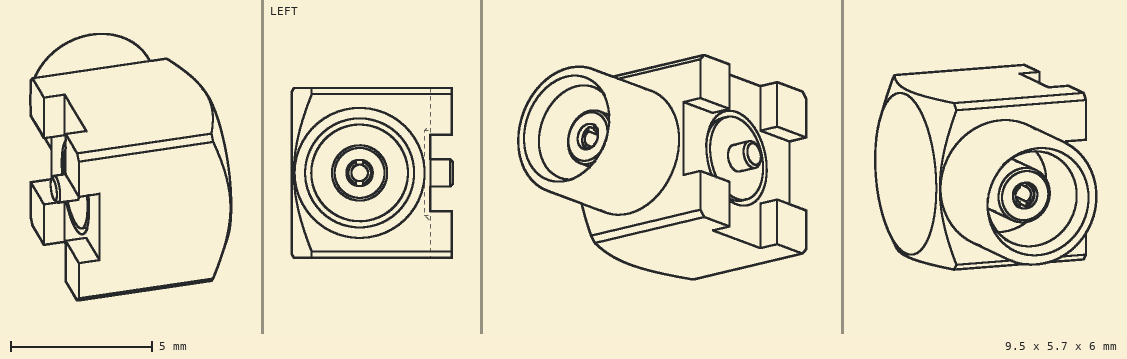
import cadquery as cq

block_side = 6.0
block_back = 2.4
corner_chamfer = 0.22
foot_side = 1.65
foot_tip = -3.26
floor_y = -2.5
back_flat_radius = 2.87
back_cone_slope = 0.58

pin_radius = 0.48
pin_tip = -3.3
pin_chamfer = 0.095
groove_rim_radius = 1.71
insulator_radius = 1.5
groove_depth = 0.2

overall_length = 9.5
socket_radius = 2.3
socket_edge_round = 0.2
mouth_radius = 1.93
bore_radius = 1.71
mouth_depth = 0.57
bore_depth = 3.42

post_radius = 0.98
post_chamfer = 0.095
post_recess = 1.21
contact_radius = 0.47
contact_chamfer = 0.07
contact_recess = 1.4
contact_bore_radius = 0.29
contact_bore_depth = 1.425
contact_point_depth = 0.29
contact_slot_width = 0.26
contact_slot_depth = 0.95
contact_length = contact_bore_depth + contact_point_depth

half_side = block_side / 2
socket_mouth = half_side - overall_length


def cylinder_x(radius, start, length):
    """Cylinder on the socket axis, running towards +X from start."""
    return cq.Workplane("YZ", origin=(start, 0, 0)).circle(radius).extrude(length)


def cone_x(start_radius, end_radius, start, length):
    """Cone on the socket axis, running towards +X from start."""
    return cq.Workplane(
        cq.Solid.makeCone(start_radius, end_radius, length, cq.Vector(start, 0, 0), cq.Vector(1, 0, 0))
    )


def make_block():
    depth = block_back - foot_tip
    block = (
        cq.Workplane("XZ", origin=(0, block_back, 0))
        .rect(block_side, block_side)
        .extrude(depth)
        .edges("|Y")
        .chamfer(corner_chamfer)
    )
    cone = cq.Solid.makeCone(
        back_flat_radius,
        back_flat_radius + depth / back_cone_slope,
        depth,
        cq.Vector(0, block_back, 0),
        cq.Vector(0, -1, 0),
    )
    block = block.intersect(cq.Workplane(cone))
    channel_width = block_side - 2 * foot_side
    for size_x, size_z in ((block_side, channel_width), (channel_width, block_side)):
        channel = cq.Workplane("XZ", origin=(0, floor_y, 0)).rect(size_x, size_z).extrude(floor_y - foot_tip)
        block = block.cut(channel)
    return block


def make_groove():
    """Ring with a tapered outer wall and a straight inner wall."""
    taper = cq.Workplane(
        cq.Solid.makeCone(
            groove_rim_radius,
            insulator_radius,
            groove_depth,
            cq.Vector(0, floor_y, 0),
            cq.Vector(0, 1, 0),
        )
    )
    insulator = cq.Workplane("XZ", origin=(0, floor_y, 0)).circle(insulator_radius).extrude(-groove_depth)
    return taper.cut(insulator)


def make_pin():
    pin = cq.Workplane("XZ", origin=(0, floor_y, 0)).circle(pin_radius).extrude(floor_y - pin_tip)
    return pin.faces("<Y").chamfer(pin_chamfer)


def make_socket():
    socket = cylinder_x(socket_radius, socket_mouth, -half_side - socket_mouth)
    return socket.faces("<X").edges().fillet(socket_edge_round)


def make_socket_cavity():
    mouth = cone_x(mouth_radius, bore_radius, socket_mouth, mouth_depth)
    return mouth.union(cylinder_x(bore_radius, socket_mouth + mouth_depth, bore_depth - mouth_depth))


def make_post():
    post_front = socket_mouth + post_recess
    post = cylinder_x(post_radius, post_front, bore_depth - post_recess)
    post = post.faces("<X").chamfer(post_chamfer)
    return post.cut(cylinder_x(contact_radius, post_front, contact_recess - post_recess + contact_length))


def make_contact():
    front = socket_mouth + contact_recess
    contact = cylinder_x(contact_radius, front, contact_length)
    contact = contact.faces("<X").chamfer(contact_chamfer)
    contact = contact.cut(cylinder_x(contact_bore_radius, front, contact_bore_depth))
    contact = contact.cut(cone_x(contact_bore_radius, 0, front + contact_bore_depth, contact_point_depth))
    slot = cq.Workplane("YZ", origin=(front, 0, 0)).rect(contact_slot_width, 2 * contact_radius)
    return contact.cut(slot.extrude(contact_slot_depth))


body = make_block().cut(make_groove()).union(make_pin())
body = body.union(make_socket()).cut(make_socket_cavity())
result = body.union(make_post()).union(make_contact())